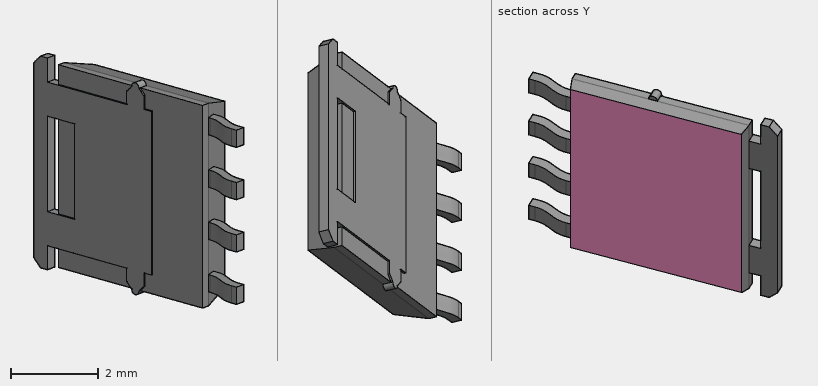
import cadquery as cq

length = 6.15
thickness = 1.07
width = 5.13

metal_thickness = 0.26
crossbar_length = 0.42
crossbar_chamfer = 0.21
plate_end = 3.57
plate_width = 3.96
slot_end = 1.235
slot_width = 2.31

ear_center = 3.08
ear_half_length = 0.26
ear_tip_radius = 0.11

body_start = 0.71
body_length = 4.37
body_width = 4.91
standoff = 0.05
body_inset = 0.21

lead_count = 4
lead_pitch = 1.265
lead_width = 0.42
lead_rise = 0.25
lead_root = 4.92
bend_start = 5.12
bend_end = 5.995


def box(x_start, x_end, y_start, y_end, z_width):
    """Box centred on Z = 0 and spanning the given X and Y ranges."""
    return cq.Workplane("XY").box(
        x_end - x_start, y_end - y_start, z_width, centered=(False, False, True)
    ).translate((x_start, y_start, 0))


def make_body():
    """Straight band at the split plane with a tapered cap behind it."""
    body_end = body_start + body_length
    cap_height = thickness - metal_thickness
    band = box(body_start, body_end, standoff, metal_thickness, body_width)
    cap = (
        cq.Workplane("XZ", origin=(body_start + body_length / 2, metal_thickness, 0))
        .rect(body_length, body_width)
        .workplane(offset=-cap_height)
        .rect(body_length - 2 * body_inset, body_width - 2 * body_inset)
        .loft(ruled=True)
    )
    return band.union(cap)


def make_ears():
    """Strip across the plate, tapering at 45 degrees to a rounded tip at each end."""
    tip = width / 2
    neck = tip - ear_tip_radius
    shoulder = neck - (ear_half_length - ear_tip_radius)
    left = ear_center - ear_half_length
    right = ear_center + ear_half_length
    tip_left = ear_center - ear_tip_radius
    tip_right = ear_center + ear_tip_radius
    return (
        cq.Workplane("XZ")
        .moveTo(left, -shoulder)
        .lineTo(left, shoulder)
        .lineTo(tip_left, neck)
        .threePointArc((ear_center, tip), (tip_right, neck))
        .lineTo(right, shoulder)
        .lineTo(right, -shoulder)
        .lineTo(tip_right, -neck)
        .threePointArc((ear_center, -tip), (tip_left, -neck))
        .close()
        .extrude(-metal_thickness)
    )


def make_tab():
    """Crossbar and slotted plate in one sheet of metal."""
    crossbar = box(0, crossbar_length, 0, metal_thickness, width)
    crossbar = crossbar.edges("|Y and <X").chamfer(crossbar_chamfer)
    plate = box(0, plate_end, 0, metal_thickness, plate_width)
    slot = box(crossbar_length, slot_end, 0, metal_thickness, slot_width)
    return crossbar.union(plate).cut(slot).union(make_ears())


def make_lead():
    """Gull-wing lead whose upper and lower faces follow matching S-curves."""
    return (
        cq.Workplane("XY", origin=(0, 0, -lead_width / 2))
        .moveTo(lead_root, lead_rise)
        .lineTo(bend_start, lead_rise)
        .spline([(bend_end, 0)], tangents=[(1, 0), (1, 0)], includeCurrent=True)
        .lineTo(length, 0)
        .lineTo(length, metal_thickness)
        .lineTo(bend_end, metal_thickness)
        .spline(
            [(bend_start, metal_thickness + lead_rise)],
            tangents=[(-1, 0), (-1, 0)],
            includeCurrent=True,
        )
        .lineTo(lead_root, metal_thickness + lead_rise)
        .close()
        .extrude(lead_width)
    )


result = make_tab().union(make_body())
lead = make_lead()
for index in range(lead_count):
    lead_z = (index - (lead_count - 1) / 2) * lead_pitch
    result = result.union(lead.translate((0, 0, lead_z)))